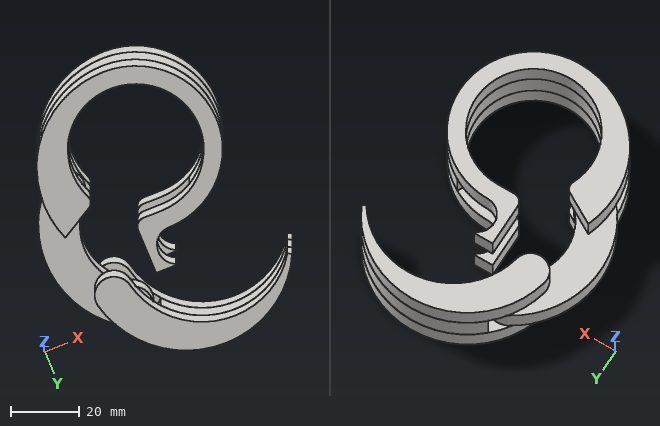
import cadquery as cq
import math

total_height = 23.6
ring_plate_thickness = 7.55
spacer_thickness = total_height - 2 * ring_plate_thickness
jaw_plate_thickness = 7.4
link_thickness = 7.4

bore_radius = 20.0
rim_radius = 25.5
heel_radius = 31.3
heel_center = (0, heel_radius - rim_radius)
ring_end_angle = 150
ring_end_fillet = 2.7
arm_left_x = -8.6
arm_top_y = 37.0
arm_fillet = 3.0
arm_tip_x = -2.2
arm_tip_y = 36.5
socket_radius = 5.6
socket_center = (0, rim_radius + socket_radius)
ring_spacer_start_angle = 60
ring_spacer_end_angle = 195

jaw_outer_radius = 31.3
jaw_outer_center = (2.4, 33.1)
jaw_inner_radius = 25.5
jaw_inner_center = (7.9, 32.1)
jaw_root_center = (-22.5, 38.4)
jaw_root_radius = 5.6
jaw_tip_outer_angle = 25.6
jaw_tip_inner_angle = 32.8
jaw_spacer_end_angle = 133

link_outer_radius = 31.3
link_outer_center = (-7.0, 24.2)
link_inner_radius = 18.35
link_inner_center = (-7.8, 24.2)
link_end_radius = 6.0
link_upper_angle = 120
link_lower_angle = 223


def polar(center, radius, angle):
    """Point on a circle, with the angle in degrees from +X."""
    turn = math.radians(angle)
    return (center[0] + radius * math.cos(turn), center[1] + radius * math.sin(turn))


def direction(start, end):
    """Angle in degrees, from 0 to 360, of the line from start to end."""
    return math.degrees(math.atan2(end[1] - start[1], end[0] - start[0])) % 360


def add_arc(sketch, center, radius, start_angle, end_angle):
    """Continue an outline along a circle to end_angle."""
    middle = polar(center, radius, (start_angle + end_angle) / 2)
    return sketch.threePointArc(middle, polar(center, radius, end_angle))


def radial_hit(center, radius, angle):
    """Point where the ray from the origin at this angle leaves a circle that encloses the origin."""
    ray = polar((0, 0), 1, angle)
    along = center[0] * ray[0] + center[1] * ray[1]
    across = center[0] * ray[1] - center[1] * ray[0]
    return polar((0, 0), along + math.sqrt(radius**2 - across**2), angle)


def ring_plate(bottom_z):
    end_outer = radial_hit(heel_center, heel_radius, ring_end_angle)
    end_inner = polar((0, 0), bore_radius, ring_end_angle)
    outline = cq.Workplane("XY").workplane(offset=bottom_z).moveTo(*end_inner).lineTo(*end_outer)
    outline = add_arc(outline, heel_center, heel_radius, direction(heel_center, end_outer), 270)
    outline = add_arc(outline, (0, 0), rim_radius, -90, 90)
    socket_left = polar(socket_center, socket_radius, 180)
    outline = outline.threePointArc(socket_left, (arm_tip_x, arm_tip_y)).lineTo(arm_tip_x, arm_top_y)
    outline = outline.lineTo(arm_left_x, arm_top_y).lineTo(arm_left_x, bore_radius).lineTo(0, bore_radius)
    outline = add_arc(outline, (0, 0), bore_radius, 90, ring_end_angle - 360).close()
    plate = outline.extrude(ring_plate_thickness)
    middle_z = bottom_z + ring_plate_thickness / 2
    plate = plate.edges(cq.selectors.NearestToPointSelector((*end_inner, middle_z))).fillet(ring_end_fillet)
    arm_corner = (arm_left_x, bore_radius, middle_z)
    return plate.edges(cq.selectors.NearestToPointSelector(arm_corner)).fillet(arm_fillet)


def ring_spacer():
    end_outer = radial_hit(heel_center, heel_radius, ring_spacer_end_angle)
    outline = cq.Workplane("XY").workplane(offset=-spacer_thickness / 2)
    outline = outline.moveTo(*polar((0, 0), bore_radius, ring_spacer_end_angle)).lineTo(*end_outer)
    outline = add_arc(outline, heel_center, heel_radius, direction(heel_center, end_outer), 270)
    outline = add_arc(outline, (0, 0), rim_radius, -90, ring_spacer_start_angle)
    outline = outline.lineTo(*polar((0, 0), bore_radius, ring_spacer_start_angle))
    outline = add_arc(
        outline, (0, 0), bore_radius, ring_spacer_start_angle, ring_spacer_end_angle - 360
    )
    return outline.close().extrude(spacer_thickness)


def jaw_crescent(bottom_z, thickness):
    outer_angle = direction(jaw_outer_center, jaw_root_center)
    inner_angle = direction(jaw_inner_center, jaw_root_center)
    inner_root = polar(jaw_inner_center, jaw_inner_radius, inner_angle)
    root_bottom = polar(jaw_root_center, jaw_root_radius, inner_angle + 90)
    outline = cq.Workplane("XY").workplane(offset=bottom_z)
    outline = outline.moveTo(*polar(jaw_outer_center, jaw_outer_radius, jaw_tip_outer_angle))
    outline = add_arc(outline, jaw_outer_center, jaw_outer_radius, jaw_tip_outer_angle, outer_angle)
    outline = outline.threePointArc(root_bottom, inner_root)
    outline = add_arc(outline, jaw_inner_center, jaw_inner_radius, inner_angle, jaw_tip_inner_angle)
    return outline.close().extrude(thickness)


def jaw_spacer():
    """Crescent without its root, cut off along a radius to leave room for the link."""
    crescent = jaw_crescent(-spacer_thickness / 2, spacer_thickness)
    reach = 2 * jaw_outer_radius
    root_side = (
        cq.Workplane("XY")
        .rect(reach, reach)
        .extrude(spacer_thickness, both=True)
        .translate((0, reach / 2, 0))
        .rotate((0, 0, 0), (0, 0, 1), jaw_spacer_end_angle)
        .translate((*jaw_outer_center, 0))
    )
    return crescent.cut(root_side)


def link_bar():
    def end_center(angle):
        return polar(link_outer_center, link_outer_radius - link_end_radius, angle)

    upper = end_center(link_upper_angle)
    lower = end_center(link_lower_angle)
    inner_upper_angle = direction(link_inner_center, upper)
    inner_lower_angle = direction(link_inner_center, lower)
    outline = cq.Workplane("XY").workplane(offset=-link_thickness / 2)
    outline = outline.moveTo(*polar(link_outer_center, link_outer_radius, link_upper_angle))
    outline = add_arc(outline, link_outer_center, link_outer_radius, link_upper_angle, link_lower_angle)
    outline = outline.threePointArc(
        polar(lower, link_end_radius, link_lower_angle + 90),
        polar(link_inner_center, link_inner_radius, inner_lower_angle),
    )
    outline = add_arc(outline, link_inner_center, link_inner_radius, inner_lower_angle, inner_upper_angle)
    outline = outline.threePointArc(
        polar(upper, link_end_radius, link_upper_angle - 90),
        polar(link_outer_center, link_outer_radius, link_upper_angle),
    )
    return outline.close().extrude(link_thickness)


bottom_z = -total_height / 2
top_z = total_height / 2
ring_plates = [ring_plate(z) for z in (bottom_z, top_z - ring_plate_thickness)]
jaw_plates = [jaw_crescent(z, jaw_plate_thickness) for z in (bottom_z, top_z - jaw_plate_thickness)]

result = cq.Compound.makeCompound([
    *[plate.val() for plate in ring_plates],
    ring_spacer().val(),
    *[plate.val() for plate in jaw_plates],
    jaw_spacer().val(),
    link_bar().val(),
])